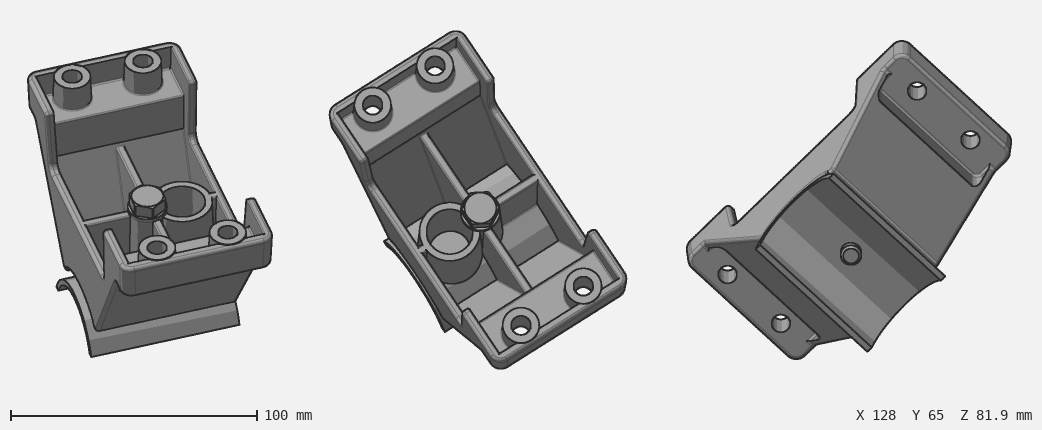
import cadquery as cq
import math

length = 128.0
width = 65.0
draft = 2.0
rim_z = 81.5
edge_round = 1.5
corner_round = 4.9

flange_bottom_z = 65.7
flange_inner_x = 52.5
foot_z = 11.6
foot_outer_x = 21.2
foot_inner_x = 18.0
saddle_edge_x = 16.5
notch_z = 52.5
notch_top_x = 37.1
notch_bottom_x = 35.1
notch_round = 3.6
flange_round = 1.9
foot_round = 1.3

axis_z = -8.7
saddle_radius = 28.2
floor_radius = 31.1
shell_outer_radius = 24.3
shell_thickness = 2.4
shell_front_y = -width / 2
shell_length = 63.4

wall = 3.7
inner_rim_round = 0.5
floor_round = 0.6
slope_round = 0.4
floor_z = 70.5
step_top_x = 42.2
step_bottom_x = 41.0
step_bottom_z = 53.8
floor_break_x = 19.2

recess_x = 44.8
recess_half_width = 28.7
recess_bottom_z = 52.5
recess_round = 3.1
recess_roof_round = 1.0

boss_x = 55.2
boss_y = 15.1
boss_top_z = 81.9
boss_diameter = 14.8
hole_top_diameter = 8.0
hole_bottom_diameter = 7.5
boss_base_round = 0.4
boss_root_depth = 1.3
boss_root_radius = 8.3

rib_width = 3.5
rib_round = 0.6
rib_base_round = 0.6
long_rib_y = 0.4
ring_y = 13.7
ring_diameter = 24.6
ring_bore = 18.8
bolt_y = -1.2
bolt_boss_diameter = 16.0
bolt_diameter = 8.5
bolt_bottom_z = 8.8
bolt_chamfer = 1.0
washer_diameter = 16.0
washer_thickness = 1.5
head_top_z = 59.6
head_corners = 15.4
head_round_diameter = 15.0
head_chamfer_height = 0.5
head_chamfer_width = 1.0

slope_per_unit = math.tan(math.radians(draft))


def arc_z(radius, x):
    """Height of a circle about the saddle axis at distance x from the middle."""
    return axis_z + math.sqrt(radius**2 - x**2)


def tapered_block(size_x, size_y, top_z, bottom_z):
    """Rectangular block that narrows downwards by the draft angle."""
    return (
        cq.Workplane("XY", origin=(0, 0, top_z))
        .rect(size_x, size_y)
        .extrude(bottom_z - top_z, taper=draft)
    )


def widening_post(diameter, y, top_z, bottom_z, x=0):
    """Round post that widens downwards by the draft angle."""
    return (
        cq.Workplane("XY", origin=(x, y, top_z))
        .circle(diameter / 2)
        .extrude(bottom_z - top_z, taper=-draft)
    )


def along_y(profile):
    """Extrude an XZ profile well past both long walls."""
    return profile.extrude(width, both=True)


def bracket_outline():
    """Bracket seen along Y, with flanges left longer than the part."""
    left = [
        (-saddle_edge_x, arc_z(saddle_radius, saddle_edge_x)),
        (-foot_inner_x, foot_z),
        (-foot_outer_x, foot_z),
        (-flange_inner_x, flange_bottom_z),
        (-length, flange_bottom_z),
        (-length, rim_z),
        (-notch_top_x, rim_z),
        (-notch_bottom_x, notch_z),
    ]
    right = [(-x, z) for x, z in reversed(left)]
    outline = (
        cq.Workplane("XZ")
        .polyline(left + right)
        .threePointArc((0, axis_z + saddle_radius), left[0])
        .close()
    )
    return along_y(outline)


def round_corners(outline, x, z, radius):
    """Round the two edges along Y that pass through (x, z) and (-x, z)."""
    for side in (-1, 1):
        edge = cq.selectors.NearestToPointSelector((side * x, 0, z))
        outline = outline.edges(edge).fillet(radius)
    return outline


def outer_body():
    """Solid bracket without its hollow, with all outside edges rounded."""
    top_growth = 2 * edge_round * slope_per_unit
    envelope = tapered_block(length + top_growth, width + top_growth, rim_z, 0)
    envelope = envelope.edges("not(|X or |Y)").fillet(corner_round)
    outline = bracket_outline()
    for x, z, radius in (
        (notch_top_x, rim_z, edge_round),
        (notch_bottom_x, notch_z, notch_round),
        (flange_inner_x, flange_bottom_z, flange_round),
        (foot_outer_x, foot_z, foot_round),
    ):
        outline = round_corners(outline, x, z, radius)
    body = envelope.intersect(outline)
    return body.faces("<Y or >Y or <X or >X").edges().fillet(edge_round)


def cavity():
    """Space enclosed by the walls, with its stepped and sloping floor."""
    left = [
        (-floor_break_x, arc_z(floor_radius, floor_break_x)),
        (-step_bottom_x, step_bottom_z),
        (-step_top_x, floor_z),
        (-length, floor_z),
        (-length, rim_z),
    ]
    right = [(-x, z) for x, z in reversed(left)]
    profile = (
        cq.Workplane("XZ")
        .polyline(left + right)
        .threePointArc((0, axis_z + floor_radius), left[0])
        .close()
    )
    block = tapered_block(length - 2 * wall, width - 2 * wall, rim_z, 0)
    space = block.intersect(along_y(profile))
    for side in (-1, 1):
        flange_floor = cq.selectors.NearestToPointSelector((side * boss_x, 0, floor_z))
        space = space.faces(flange_floor).edges().fillet(floor_round)
    return space


def flange_recess(side):
    """Pocket that hollows the underside between a flange and the slope below it."""
    height = flange_bottom_z - recess_bottom_z
    return (
        cq.Workplane("XY")
        .box(length, 2 * recess_half_width, height, centered=(True, True, False))
        .edges("|Z")
        .fillet(recess_round)
        .faces(">Z")
        .edges()
        .fillet(recess_roof_round)
        .translate((side * (recess_x + length / 2), 0, recess_bottom_z))
    )


def rib(size_x, size_y, y, top_edges):
    """Straight rib that widens downwards, with its long top edges rounded."""
    return (
        cq.Workplane("XY", origin=(0, y, notch_z))
        .rect(size_x, size_y)
        .extrude(-notch_z, taper=-draft)
        .faces(">Z")
        .edges(top_edges)
        .fillet(rib_round)
    )


def interior():
    """Crossed ribs with the socket ring and the bolt boss."""
    long_rib = rib(2 * step_bottom_x, rib_width, long_rib_y, "|X")
    cross_rib = rib(rib_width, width - 2 * wall, 0, "|Y")
    ring = widening_post(ring_diameter, ring_y, notch_z, 0)
    bolt_boss = widening_post(bolt_boss_diameter, bolt_y, notch_z, 0)
    bore = cq.Workplane("XY", origin=(0, ring_y, notch_z)).circle(ring_bore / 2)
    bore = bore.extrude(-notch_z, taper=draft)
    return long_rib.union(cross_rib).union(ring).union(bolt_boss).cut(bore)


def round_inner_rim(body):
    """Round the inner edge of the two long walls, right along each notch."""
    for side in (-1, 1):
        inner_y = width / 2 - wall - (rim_z - notch_z) * slope_per_unit
        edge = cq.selectors.NearestToPointSelector((0, side * inner_y, notch_z))
        body = body.edges(edge).fillet(inner_rim_round)
    return body


def round_cross_rib_base(body):
    """Round the corner between the floor and the free part of the cross rib."""
    reach = rib_width
    wall_y = width / 2 - wall
    floor_top_z = axis_z + floor_radius
    near_base = cq.selectors.BoxSelector(
        (-reach, -wall_y, floor_top_z - reach / 2),
        (reach, bolt_y - bolt_boss_diameter / 2, floor_top_z + reach / 2),
    )
    return body.edges(near_base).edges("|Y").fillet(rib_base_round)


def round_slope_corners(body):
    """Round the corners of the sloping floors with the walls and the long rib."""
    middle_x = (floor_break_x + step_bottom_x) / 2
    middle_z = (arc_z(floor_radius, floor_break_x) + step_bottom_z) / 2
    wall_y = width / 2 - wall - (rim_z - middle_z) * slope_per_unit
    rib_half = rib_width / 2 + (notch_z - middle_z) * slope_per_unit
    corners = []
    for x in (-middle_x, middle_x):
        for y in (-wall_y, long_rib_y - rib_half, long_rib_y + rib_half, wall_y):
            corner = cq.selectors.NearestToPointSelector((x, y, middle_z))
            corners += body.edges(corner).vals()
    return body.newObject(corners).fillet(slope_round)


def screw_boss(x, y):
    """Screw boss with a rounded foot on a root sunk into the flange."""
    root = (
        cq.Workplane("XY", origin=(x, y, floor_z))
        .circle(boss_root_radius)
        .extrude(-boss_root_depth)
    )
    post = widening_post(boss_diameter, y, boss_top_z, floor_z, x)
    foot = cq.selectors.RadiusNthSelector(1)
    return root.union(post).edges("%CIRCLE").edges(foot).fillet(boss_base_round)


def screw_hole(x, y):
    """Hole through boss and flange, slightly narrower at the bottom."""
    return (
        cq.Workplane("XY", origin=(x, y, boss_top_z))
        .circle(hole_top_diameter / 2)
        .workplane(offset=flange_bottom_z - boss_top_z)
        .circle(hole_bottom_diameter / 2)
        .loft()
    )


def bolt():
    """Hexagon bolt with a washer face resting on the bolt boss."""
    shank = (
        cq.Workplane("XY", origin=(0, bolt_y, bolt_bottom_z))
        .circle(bolt_diameter / 2)
        .extrude(notch_z - bolt_bottom_z)
        .faces("<Z")
        .chamfer(bolt_chamfer)
    )
    washer = (
        cq.Workplane("XY", origin=(0, bolt_y, notch_z))
        .circle(washer_diameter / 2)
        .extrude(washer_thickness)
    )
    head_height = head_top_z - notch_z
    head = (
        cq.Workplane("XY", origin=(0, bolt_y, notch_z))
        .polygon(6, head_corners)
        .extrude(head_height)
    )
    head_limit = (
        cq.Workplane("XY", origin=(0, bolt_y, notch_z))
        .circle(head_round_diameter / 2)
        .extrude(head_height)
        .faces(">Z")
        .chamfer(head_chamfer_height, head_chamfer_width)
    )
    return shank.union(washer).union(head.intersect(head_limit))


def clamp_shell():
    """Part of a tube about the saddle axis, cut off flat at Z = 0."""
    inner_radius = shell_outer_radius - shell_thickness
    outer_x = math.sqrt(shell_outer_radius**2 - axis_z**2)
    inner_x = math.sqrt(inner_radius**2 - axis_z**2)
    return (
        cq.Workplane("XZ", origin=(0, shell_front_y, 0))
        .moveTo(-outer_x, 0)
        .threePointArc((0, axis_z + shell_outer_radius), (outer_x, 0))
        .lineTo(inner_x, 0)
        .threePointArc((0, axis_z + inner_radius), (-inner_x, 0))
        .close()
        .extrude(-shell_length)
    )


hollow = cavity()
outer = outer_body()
bracket = round_inner_rim(outer.cut(hollow))
bracket = bracket.union(interior().intersect(outer))
bracket = round_cross_rib_base(bracket)
bracket = round_slope_corners(bracket)
for side in (-1, 1):
    bracket = bracket.cut(flange_recess(side))

boss_centres = [(x, y) for x in (-boss_x, boss_x) for y in (-boss_y, boss_y)]
for x, y in boss_centres:
    bracket = bracket.union(screw_boss(x, y))
for x, y in boss_centres:
    bracket = bracket.cut(screw_hole(x, y))

result = bracket.union(bolt()).union(clamp_shell())